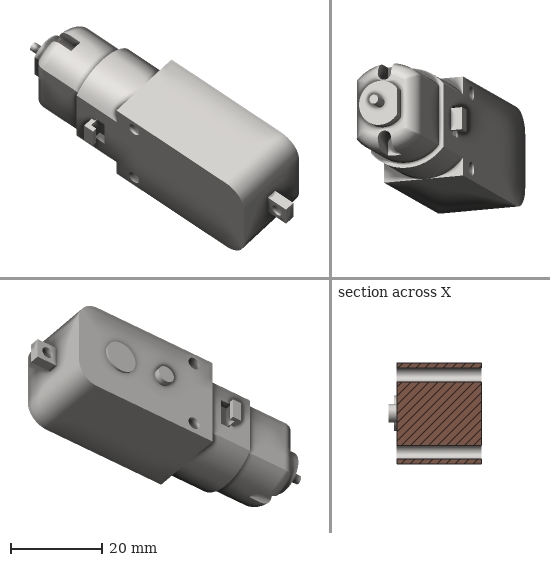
import cadquery as cq


boss_start = 3.7
can_start = 6.2
sleeve_start = 19.8
box_start = 31.25
box_end = 67.9
overall_length = 73.2

shaft_radius = 1.0
boss_radius = 5.0
boss_flat_y = -3.95
can_radius = 10.0
can_width = 15.0
can_round = 3.1
slot_width = 3.15
slot_end = 12.3
slot_round_z = 7.3

sleeve_width = 17.2
box_height = 22.3
sleeve_radius = box_height / 2
box_front_y = -sleeve_width / 2
box_back_y = 10.1
box_middle_y = (box_front_y + box_back_y) / 2
box_corner_radius = 5.1
mount_hole_diameter = 3.0
mount_hole_x = 36.3
mount_hole_spacing = 17.0

tab_height = 5.0
tab_thickness = 2.5
tab_hole_diameter = 2.8
tab_hole_x = 70.5

terminal_start = 24.15
terminal_thickness = 1.1
terminal_height = 5.0
terminal_reach = 11.2
front_hook_length = 2.55
back_hook_length = 2.3
pocket_start = 25.0
pocket_length = 2.8
pocket_height = 6.7
pocket_depth = 1.7

peg_x = 45.2
peg_diameter = 4.1
peg_end_y = 11.8
disk_x = 56.65
disk_diameter = 7.75
disk_thickness = 0.5


def block(x_range, y_range, height):
    """Box over the given X and Y ranges, centred on Z = 0."""
    x_low, x_high = min(x_range), max(x_range)
    y_low, y_high = min(y_range), max(y_range)
    return (
        cq.Workplane("XY")
        .box(x_high - x_low, y_high - y_low, height, centered=(False, False, True))
        .translate((x_low, y_low, 0))
    )


def rod_x(radius, x_low, x_high):
    """Round rod on the motor axis."""
    return cq.Workplane("YZ").workplane(offset=x_low).circle(radius).extrude(x_high - x_low)


def rod_y(diameter, x, z, y_low, y_high):
    """Round rod parallel to Y."""
    plane = cq.Plane(origin=(x, y_low, z), xDir=(1, 0, 0), normal=(0, 1, 0))
    return cq.Workplane(plane).circle(diameter / 2).extrude(y_high - y_low)


def flattened_rod(radius, width, x_low, x_high):
    """Round rod on the motor axis with two flats facing -Y and +Y."""
    flats = block((x_low, x_high), (-width / 2, width / 2), 2 * radius)
    return rod_x(radius, x_low, x_high).intersect(flats)


def make_can():
    can = flattened_rod(can_radius, can_width, can_start, sleeve_start)
    can = can.faces("<X").edges().fillet(can_round)
    for side in (1, -1):
        slot = (
            cq.Workplane("YZ")
            .workplane(offset=can_start)
            .moveTo(-slot_width / 2, side * can_radius)
            .lineTo(-slot_width / 2, side * slot_round_z)
            .threePointArc(
                (0, side * (slot_round_z - slot_width / 2)),
                (slot_width / 2, side * slot_round_z),
            )
            .lineTo(slot_width / 2, side * can_radius)
            .close()
            .extrude(slot_end - can_start)
        )
        can = can.cut(slot)
    return can


def make_boss_and_shaft():
    boss_flat = block((boss_start, can_start), (boss_flat_y, boss_radius), 2 * boss_radius)
    boss = rod_x(boss_radius, boss_start, can_start).intersect(boss_flat)
    return boss.union(rod_x(shaft_radius, 0, can_start))


def make_gearbox():
    box = block((box_start, box_end), (box_front_y, box_back_y), box_height)
    box = box.faces(">X").edges("|Y").fillet(box_corner_radius)
    for side in (1, -1):
        hole_z = side * mount_hole_spacing / 2
        box = box.cut(rod_y(mount_hole_diameter, mount_hole_x, hole_z, box_front_y, box_back_y))
    return box


def make_tab():
    y_low = box_middle_y - tab_thickness / 2
    y_high = box_middle_y + tab_thickness / 2
    tab = block((box_end, overall_length), (y_low, y_high), tab_height)
    return tab.cut(rod_y(tab_hole_diameter, tab_hole_x, 0, y_low, y_high))


def make_sleeve():
    sleeve = flattened_rod(sleeve_radius, sleeve_width, sleeve_start, box_start)
    pocket_x = (pocket_start, pocket_start + pocket_length)
    for side in (1, -1):
        pocket_y = (side * sleeve_width / 2, side * (sleeve_width / 2 - pocket_depth))
        sleeve = sleeve.cut(block(pocket_x, pocket_y, pocket_height))
    return sleeve


def make_terminal(side, hook_length):
    """L-shaped terminal rooted at the pocket floor, with its hook pointing along +X."""
    tip_y = side * terminal_reach
    floor_y = side * (sleeve_width / 2 - pocket_depth)
    hook_y = side * (terminal_reach - terminal_thickness)
    leg_x = (terminal_start, terminal_start + terminal_thickness)
    hook_x = (terminal_start, terminal_start + hook_length)
    leg = block(leg_x, (floor_y, tip_y), terminal_height)
    return leg.union(block(hook_x, (hook_y, tip_y), terminal_height))


result = (
    make_gearbox()
    .union(make_sleeve())
    .union(make_can())
    .union(make_boss_and_shaft())
    .union(make_tab())
    .union(make_terminal(-1, front_hook_length))
    .union(make_terminal(1, back_hook_length))
    .union(rod_y(peg_diameter, peg_x, 0, box_back_y, peg_end_y))
    .union(rod_y(disk_diameter, disk_x, 0, box_back_y, box_back_y + disk_thickness))
)